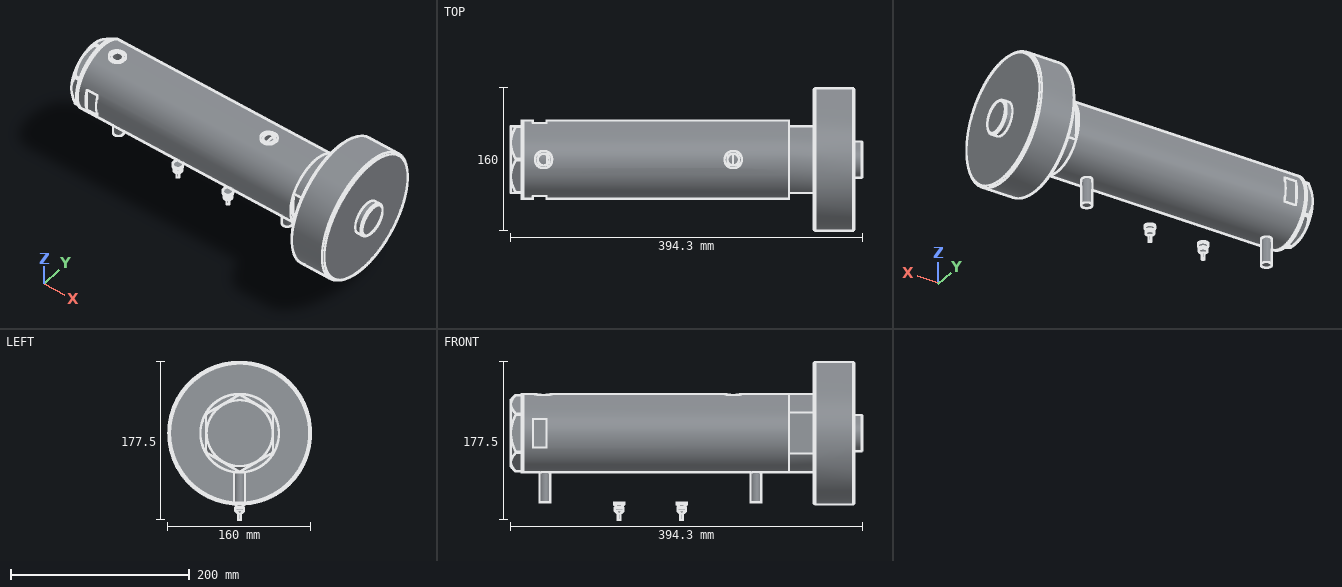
import cadquery as cq
import math


body_radius = 44.0

flat_width = 75.0
hex_length = 12.0
hex_face_radius = 37.0
hex_chamfer_length = 5.5
hex_turned_radius = 42.7
hex_corner_radius = flat_width / math.sqrt(3)
collar_width = 2.4
cap_plug_radius = 27.5
cap_plug_end = 41.0

barrel_start = hex_length + collar_width
barrel_end = 312.0
port_positions = (37.0, 249.4)
port_radius = 6.6
spot_face_radius = 9.7
spot_face_height = 42.5
recess_start = 25.0
recess_width = 15.0
recess_flat_offset = 41.0

rod_radius = 25.0
spigot_radius = 40.0
spigot_start = port_positions[1]
disc_start = 339.3
disc_width = 46.0
disc_end = disc_start + disc_width
disc_radius = 80.0
disc_chamfer = 2.0
nose_radius = 20.4
nose_chamfer = 1.5
ram_end = 394.3

pin_radius = 6.25
pin_positions = (38.4, 274.8)
pin_bottom = -77.5

plug_positions = (121.6, 191.7)
plug_top = pin_bottom
plug_bottom = -97.5
plug_head_radius = 6.0
plug_head_thickness = 2.0
plug_waist_radius = 2.8
plug_waist_depth = 4.8
plug_collar_radius = 5.0
plug_collar_top = 6.5
plug_collar_bottom = 9.3
plug_stem_radius = 1.7
plug_stem_start = 12.5


def x_cylinder(radius, start, end):
    """Cylinder about the X axis between two X positions."""
    return cq.Workplane("YZ").workplane(offset=start).circle(radius).extrude(end - start)


def make_cap():
    blank = (
        cq.Workplane("XY")
        .moveTo(0, 0)
        .lineTo(0, hex_face_radius)
        .lineTo(hex_chamfer_length, hex_turned_radius)
        .lineTo(hex_length, hex_turned_radius)
        .lineTo(hex_length, 0)
        .close()
        .revolve(360, (0, 0, 0), (1, 0, 0))
    )
    hexagon = (
        cq.Workplane("YZ")
        .transformed(rotate=(0, 0, 90))
        .polygon(6, 2 * hex_corner_radius)
        .extrude(hex_length)
        .intersect(blank)
    )
    collar = x_cylinder(body_radius, hex_length, barrel_start)
    plug = x_cylinder(cap_plug_radius, barrel_start, cap_plug_end)
    return hexagon.union(collar).union(plug)


def make_barrel():
    barrel = x_cylinder(body_radius, barrel_start, barrel_end)

    barrel = barrel.cut(x_cylinder(cap_plug_radius, barrel_start, cap_plug_end))
    barrel = barrel.cut(x_cylinder(rod_radius, cap_plug_end, spigot_start))
    barrel = barrel.cut(x_cylinder(spigot_radius, spigot_start, barrel_end))

    for port_x in port_positions:
        port = cq.Workplane("XY").center(port_x, 0).circle(port_radius).extrude(body_radius)
        spot_face = (
            cq.Workplane("XY")
            .workplane(offset=spot_face_height)
            .center(port_x, 0)
            .circle(spot_face_radius)
            .extrude(body_radius - spot_face_height)
        )
        barrel = barrel.cut(port).cut(spot_face)

    recess_depth = body_radius - recess_flat_offset
    for side in (-1, 1):
        recess = cq.Workplane("XY").box(recess_width, recess_depth, 2 * body_radius).translate(
            (recess_start + recess_width / 2, side * (recess_flat_offset + recess_depth / 2), 0)
        )
        barrel = barrel.cut(recess)
    return barrel


def make_ram():
    rod = x_cylinder(rod_radius, cap_plug_end, spigot_start)
    spigot = x_cylinder(spigot_radius, spigot_start, barrel_end)
    neck_length = disc_start - barrel_end
    flats = cq.Workplane("XY").box(neck_length, flat_width, 2 * body_radius).translate(
        (barrel_end + neck_length / 2, 0, 0)
    )
    neck = x_cylinder(body_radius, barrel_end, disc_start).intersect(flats)
    disc = x_cylinder(disc_radius, disc_start, disc_end).edges().chamfer(disc_chamfer)
    nose = x_cylinder(nose_radius, disc_end, ram_end).faces(">X").edges().chamfer(nose_chamfer)
    return rod.union(spigot).union(neck).union(disc).union(nose)


def make_pin(pin_x):
    """Upright pin whose top is shaped to seat on the round underside of the barrel."""
    pin = cq.Workplane("XY").workplane(offset=pin_bottom).center(pin_x, 0).circle(pin_radius)
    return pin.extrude(-pin_bottom).cut(x_cylinder(body_radius, barrel_start, barrel_end))


def make_plug(plug_x):
    """Turned plug: flat head, waist, collar and a thin stem."""
    return (
        cq.Workplane("XZ")
        .moveTo(0, plug_top)
        .lineTo(plug_head_radius, plug_top)
        .lineTo(plug_head_radius, plug_top - plug_head_thickness)
        .lineTo(plug_waist_radius, plug_top - plug_waist_depth)
        .lineTo(plug_collar_radius, plug_top - plug_collar_top)
        .lineTo(plug_collar_radius, plug_top - plug_collar_bottom)
        .lineTo(plug_stem_radius, plug_top - plug_stem_start)
        .lineTo(plug_stem_radius, plug_bottom)
        .lineTo(0, plug_bottom)
        .close()
        .revolve(360, (0, 0, 0), (0, 1, 0))
        .translate((plug_x, 0, 0))
    )


cap = make_cap()
barrel = make_barrel()
ram = make_ram()
pins = [make_pin(pin_x).val() for pin_x in pin_positions]
plugs = [make_plug(plug_x).val() for plug_x in plug_positions]

result = cq.Compound.makeCompound([cap.val(), barrel.val(), ram.val(), *pins, *plugs])